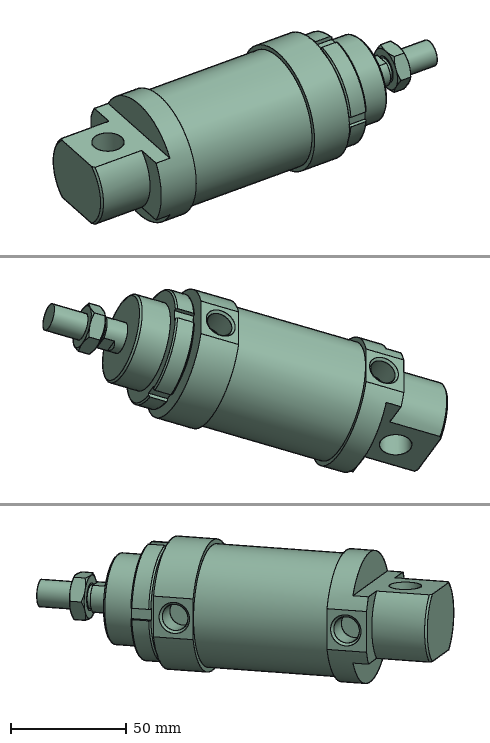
import cadquery as cq
import math

total_length = 182.0

cap_diameter = 58.0
cap_length = 18.0
cap_width = 56.6
tube_diameter = 53.9
tube_length = 61.0
nose_diameter = 40.0
nose_length = 25.5
nose_chamfer = 1.0
clevis_length = 25.0
clevis_thickness = 30.0
clevis_relief = 7.1
pivot_hole_diameter = 14.0
pivot_hole_y = 16.0
port_diameter = 11.6
port_chamfer = 1.1
port_depth = 12.0
port_inset = 9.5

ring_nut_diameter = 52.0
ring_nut_width = 9.1
ring_nut_gap = 2.0
ring_nut_chamfer = 0.7
slot_width = 5.1
slot_depth = 2.0
slot_count = 4

rod_diameter = 14.0
rod_length = 9.8
flat_length = 5.1
thread_diameter = 12.0
neck_diameter = 10.4
neck_length = 2.0

hex_nut_flats = 19.0
hex_nut_width = 6.7
hex_nut_chamfer_angle = 30.0

rear_cap_front = clevis_length + cap_length
tube_front = rear_cap_front + tube_length
front_cap_front = tube_front + cap_length
nose_front = front_cap_front + nose_length
shoulder_y = nose_front + rod_length
hex_nut_y = shoulder_y + neck_length
ring_nut_y = front_cap_front + ring_nut_gap

cap_radius = cap_diameter / 2
port_flat_x = cap_radius - cap_width


def cylinder_y(diameter, start, length):
    """Solid cylinder on the Y axis, from y = start towards +Y."""
    return cq.Workplane("XZ", origin=(0, start, 0)).circle(diameter / 2).extrude(-length)


def box(size, center):
    """Block of the given X, Y, Z size about a centre point."""
    return cq.Workplane("XY").box(*size).translate(center)


def make_cap(start, port_y):
    """Round cap with a flat on its -X side and a chamfered blind port in the flat."""
    cap = cylinder_y(cap_diameter, start, cap_length)
    middle_y = start + cap_length / 2
    trim = box((cap_radius, cap_length, cap_diameter), (port_flat_x - cap_radius / 2, middle_y, 0))
    port_radius = port_diameter / 2
    mouth_radius = port_radius + port_chamfer
    port_profile = [
        (port_flat_x, 0),
        (port_flat_x, mouth_radius),
        (port_flat_x + port_chamfer, port_radius),
        (port_flat_x + port_depth, port_radius),
        (port_flat_x + port_depth, 0),
    ]
    port = (
        cq.Workplane("XY")
        .polyline(port_profile)
        .close()
        .revolve(360, (0, 0, 0), (1, 0, 0))
        .translate((0, port_y, 0))
    )
    return cap.cut(trim).cut(port)


def make_housing():
    clevis = cylinder_y(nose_diameter, 0, clevis_length).faces("<Y").chamfer(nose_chamfer)
    rear_cap = make_cap(clevis_length, clevis_length + port_inset)
    tube = cylinder_y(tube_diameter, rear_cap_front, tube_length)
    front_cap = make_cap(tube_front, front_cap_front - port_inset)
    nose = cylinder_y(nose_diameter, front_cap_front, nose_length).faces(">Y").chamfer(nose_chamfer)
    housing = clevis.union(rear_cap).union(tube).union(front_cap).union(nose)

    relief_length = clevis_length + clevis_relief
    for side in (1, -1):
        relief_center = (0, relief_length / 2, side * (clevis_thickness + cap_radius) / 2)
        housing = housing.cut(box((cap_diameter, relief_length, cap_radius), relief_center))

    pivot_hole = (
        cq.Workplane("XY")
        .center(0, pivot_hole_y)
        .circle(pivot_hole_diameter / 2)
        .extrude(clevis_thickness / 2, both=True)
    )
    return housing.cut(pivot_hole)


def make_ring_nut():
    nut = cylinder_y(ring_nut_diameter, ring_nut_y, ring_nut_width)
    nut = nut.faces("<Y or >Y").chamfer(ring_nut_chamfer)
    nut = nut.cut(cylinder_y(nose_diameter, ring_nut_y, ring_nut_width))
    slot = box(
        (slot_width, ring_nut_width, 2 * slot_depth),
        (0, ring_nut_y + ring_nut_width / 2, ring_nut_diameter / 2),
    )
    for index in range(slot_count):
        nut = nut.cut(slot.rotate((0, 0, 0), (0, 1, 0), index * 360 / slot_count))
    return nut


def make_rod():
    rod = cylinder_y(rod_diameter, nose_front, rod_length)

    flat_z = thread_diameter / 2
    flat_depth = (rod_diameter - thread_diameter) / 2
    flat_end = shoulder_y - flat_length
    flat_profile = [
        (shoulder_y, flat_z),
        (flat_end, flat_z),
        (flat_end - flat_depth, flat_z + flat_depth),
        (shoulder_y, flat_z + flat_depth),
    ]
    flat = cq.Workplane("YZ").polyline(flat_profile).close().extrude(rod_diameter / 2, both=True)
    rod = rod.cut(flat).cut(flat.mirror("XY"))

    neck = cylinder_y(neck_diameter, shoulder_y, neck_length)
    thread = cylinder_y(thread_diameter, hex_nut_y, total_length - hex_nut_y)
    return rod.union(neck).union(thread)


def make_hex_nut():
    corner_diameter = hex_nut_flats / math.cos(math.pi / 6)
    nut = (
        cq.Workplane("XZ", origin=(0, hex_nut_y, 0))
        .polygon(6, corner_diameter)
        .circle(thread_diameter / 2)
        .extrude(-hex_nut_width)
    )
    bevel_radial = (corner_diameter - hex_nut_flats) / 2
    bevel_axial = bevel_radial * math.tan(math.radians(hex_nut_chamfer_angle))
    envelope = (
        cylinder_y(corner_diameter, hex_nut_y, hex_nut_width)
        .faces("<Y").chamfer(bevel_axial, bevel_radial)
        .faces(">Y").chamfer(bevel_axial, bevel_radial)
    )
    return nut.intersect(envelope)


housing = make_housing()
ring_nut = make_ring_nut()
rod = make_rod()
hex_nut = make_hex_nut()

result = cq.Compound.makeCompound([housing.val(), ring_nut.val(), rod.val(), hex_nut.val()])